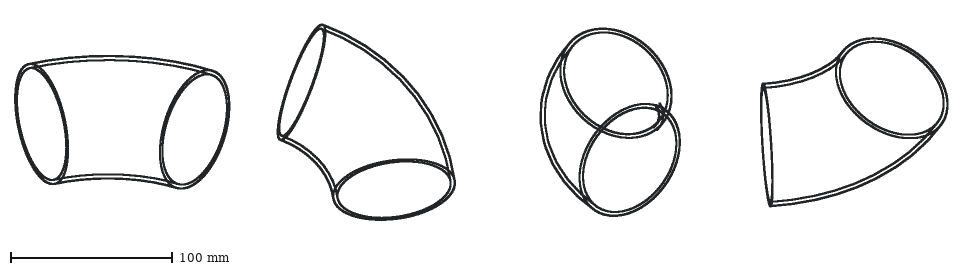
import cadquery as cq
import math

length_y = 115.2
outer_diameter = 76.0
wall_thickness = 2.7
bend_angle = 60.0

outer_radius = outer_diameter / 2
inner_radius = outer_radius - wall_thickness

outer_bend_radius = length_y / math.sin(math.radians(bend_angle))
bend_radius = outer_bend_radius - outer_radius

result = (
    cq.Workplane("XZ")
    .circle(outer_radius)
    .circle(inner_radius)
    .revolve(bend_angle, (bend_radius, 0, 0), (bend_radius, -1, 0))
)